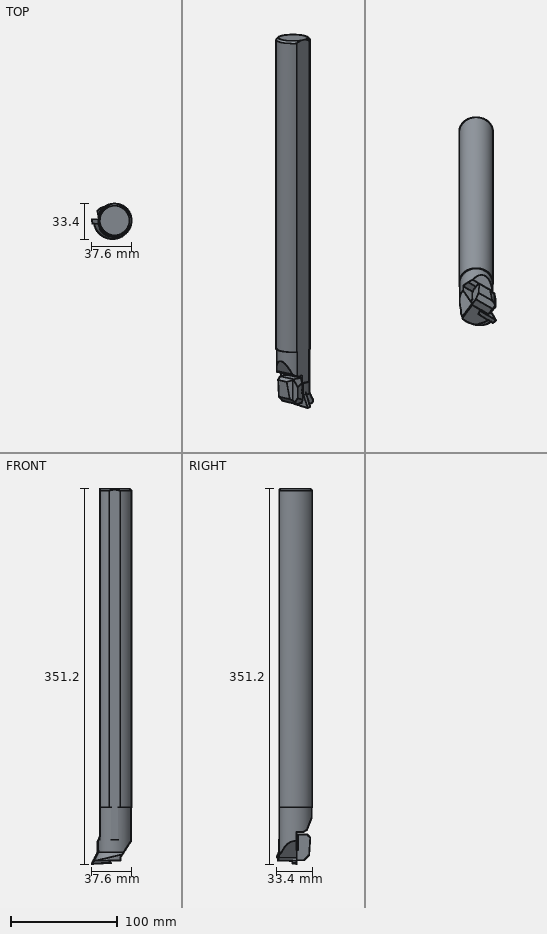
import cadquery as cq
import math

total_length = 351.2
bar_radius = 15.98
neck_radius = 15.5
neck_top = 53.5
end_chamfer = 2.0
side_flat = 13.7
front_flat = 15.0
flat_end = 23.0
cut_size = 70.2

flare_top = 11.2
flare_slope = 0.48
rim_height = 7.5
rim_slope = 0.24
foot_radius = 16.5
foot_bottom = 3.0
relief_top = (bar_radius, 22.5)
relief_bottom = (5.3, 6.0)

pocket_face = 1.23
pocket_top = 30.0
pocket_wall_y = 7.5
pocket_bend = (11.0, 32.0)
pocket_exit = (bar_radius, 45.0)

tip_x = -21.6
insert_side = 18.3
insert_thickness = 4.2
insert_tilt = 3.0
insert_corner = 60.0
insert_clearance = 7.0

clamp_gap = 1.0
clamp_foot_top = 13.5
clamp_nose_x = -16.0
clamp_side_x = -14.8
clamp_bevel_start = 20.5
clamp_lower_bevel_start = 10.0
clamp_bevel_end_x = -13.0
clamp_end_x = 5.5
clamp_nose_y = 9.0
clamp_top = 27.7
clamp_bottom = 3.5
clamp_back = 14.0
clamp_upper_corner = (11.2, 24.5)
clamp_lower_back = (13.0, 8.5)
clamp_lower_edge_y = 8.0
clamp_shoulder = (-12.5, 12.0)
clamp_back_start_x = -6.3


def make_bar():
    """Chamfered bar with a slightly thinner neck and two long flats."""
    bar = cq.Workplane("XY").workplane(offset=neck_top).circle(bar_radius)
    bar = bar.extrude(total_length - neck_top).faces(">Z").chamfer(end_chamfer)
    neck = cq.Workplane("XY").workplane(offset=flare_top).circle(neck_radius).extrude(neck_top - flare_top)
    bar = bar.union(neck)
    block = cq.Workplane("XY").box(cut_size, cut_size, total_length, centered=(True, True, False))
    bar = bar.cut(block.translate((-side_flat - cut_size / 2, 0, flat_end)))
    return bar.cut(block.translate((0, -front_flat - cut_size / 2, flat_end)))


def make_head():
    """Conical flare ending on a slanted rim, with a straight foot below."""
    rim_radius = neck_radius + flare_slope * flare_top
    cone = (
        cq.Workplane("XZ")
        .polyline([(0, 0), (rim_radius, 0), (neck_radius, flare_top), (0, flare_top)])
        .close()
        .revolve(360, (0, 0, 0), (0, 1, 0))
    )
    above_rim = (
        cq.Workplane("XZ")
        .polyline([
            (-cut_size, rim_height - rim_slope * cut_size),
            (cut_size, rim_height + rim_slope * cut_size),
            (-cut_size, cut_size),
        ])
        .close()
        .extrude(cut_size, both=True)
    )
    foot = cq.Workplane("XY").workplane(offset=foot_bottom).circle(foot_radius)
    foot = foot.extrude(flare_top - foot_bottom).intersect(cone)
    return cone.intersect(above_rim).union(foot)


def make_relief():
    """Sloping relief across the +X side of the head."""
    return (
        cq.Workplane("XZ")
        .polyline([relief_top, relief_bottom, (relief_bottom[0], 0), (cut_size, 0), (cut_size, relief_top[1])])
        .close()
        .extrude(cut_size, both=True)
    )


def make_pocket():
    """Chip pocket open to +Y with a sloping run-out."""
    return (
        cq.Workplane("YZ")
        .polyline([
            (pocket_face, 0),
            (pocket_face, pocket_top),
            (pocket_wall_y, pocket_top),
            pocket_bend,
            pocket_exit,
            (cut_size, pocket_exit[1]),
            (cut_size, 0),
        ])
        .close()
        .extrude(cut_size, both=True)
    )


def make_insert():
    """Equilateral insert with clearance flanks, its lower edge rising slightly away from the tip."""
    corners = [(tip_x, 0)]
    for angle in (insert_tilt, insert_tilt + insert_corner):
        turn = math.radians(angle)
        corners.append((tip_x + insert_side * math.cos(turn), insert_side * math.sin(turn)))
    plate = cq.Workplane("XZ", origin=(0, pocket_face, 0)).polyline(corners).close()
    return plate.extrude(insert_thickness, taper=insert_clearance)


def make_clamp():
    """Faceted clamp whose foot bears on the insert and whose nose overhangs -X."""
    clear_y = pocket_face + clamp_gap
    side_profile = (
        cq.Workplane("YZ")
        .polyline([
            (pocket_face, clamp_bottom),
            (pocket_face, clamp_foot_top),
            (clear_y, clamp_foot_top),
            (clear_y, clamp_top),
            (clamp_upper_corner[0], clamp_top),
            (clamp_back, clamp_upper_corner[1]),
            clamp_lower_back,
            (clamp_lower_edge_y, clamp_bottom),
        ])
        .close()
        .extrude(cut_size, both=True)
    )
    plan = (
        cq.Workplane("XY")
        .polyline([
            (clamp_side_x, pocket_face),
            (clamp_nose_x, clamp_nose_y),
            clamp_shoulder,
            (clamp_back_start_x, clamp_back),
            (clamp_end_x, clamp_back),
            (clamp_end_x, pocket_face),
        ])
        .close()
        .extrude(cut_size)
    )
    body = side_profile.intersect(plan)
    for start_z, end_z in ((clamp_bevel_start, clamp_top), (clamp_lower_bevel_start, clamp_bottom)):
        bevel = (
            cq.Workplane("XZ")
            .polyline([(clamp_nose_x, start_z), (clamp_bevel_end_x, end_z), (clamp_nose_x, end_z)])
            .close()
            .extrude(cut_size, both=True)
        )
        body = body.cut(bevel)
    return body


insert = make_insert()
clamp = make_clamp()
holder = make_bar().union(make_head()).cut(make_relief()).cut(make_pocket()).cut(insert)

result = cq.Compound.makeCompound([holder.val(), insert.val(), clamp.val()])